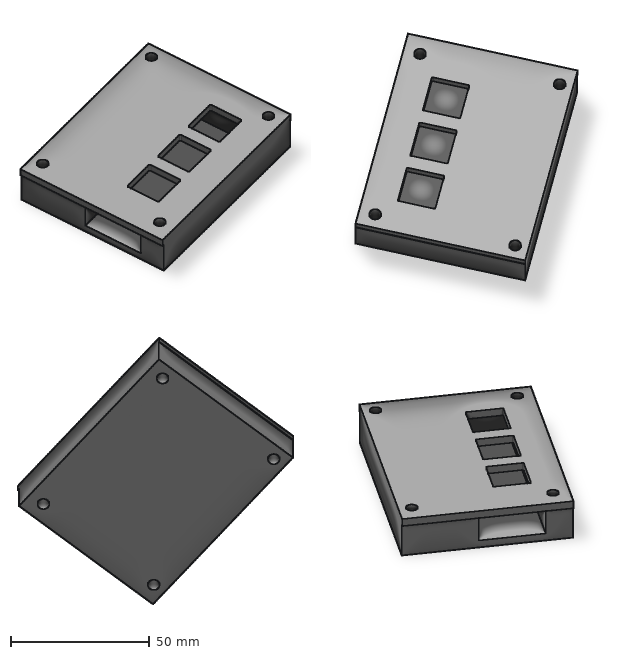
import cadquery as cq

width = 63.2
length = 79.8
height = 16.0
plate = 3.0
box_height = height - plate

front_overhang = 0.7
back_overhang = 0.15

channel_left = 28.4
channel_right = 53.05
channel_back = 69.65

window_size = 14.0
window_corner_radius = 0.5
window_x = 43.55
window_pitch = 19.0
first_window_y = 22.2
window_count = 3

screw_diameter = 4.2
screw_centers = [(4.95, 7.0), (57.0, 7.0), (4.95, 74.7), (57.1, 74.4)]


def block(x_min, x_max, y_min, y_max, z_min, z_max):
    """Box spanning the given limits along X, Y and Z."""
    return (
        cq.Workplane("XY")
        .box(x_max - x_min, y_max - y_min, z_max - z_min, centered=False)
        .translate((x_min, y_min, z_min))
    )


def make_box():
    """Lower box with its channel open at the front and closed at the back."""
    box = block(0, width, front_overhang, length - back_overhang, 0, box_height)
    channel = block(channel_left, channel_right, front_overhang, channel_back, plate, box_height)
    return box.cut(channel)


def make_lid():
    """Flat lid with the row of rounded square windows above the channel."""
    lid = block(0, width, 0, length, box_height, height)
    window_centers = [(window_x, first_window_y + i * window_pitch) for i in range(window_count)]
    windows = (
        cq.Workplane("XY")
        .workplane(offset=box_height)
        .pushPoints(window_centers)
        .rect(window_size, window_size)
        .extrude(plate)
        .edges("|Z")
        .fillet(window_corner_radius)
    )
    return lid.cut(windows)


def make_screw_holes():
    """Cylinders running through the lid and the box at the four corners."""
    return cq.Workplane("XY").pushPoints(screw_centers).circle(screw_diameter / 2).extrude(height)


result = make_box().union(make_lid()).cut(make_screw_holes())